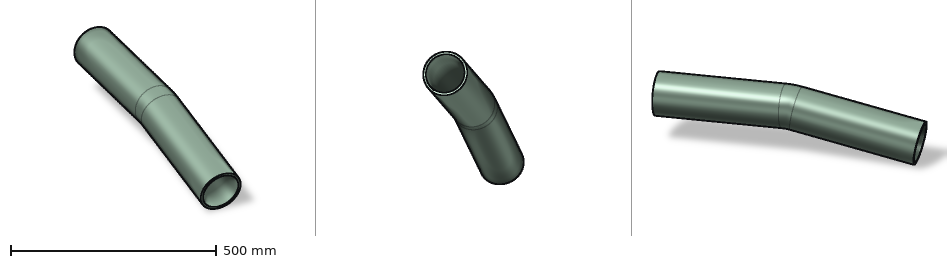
import cadquery as cq
import math

outer_diameter = 110.0
inner_diameter = 96.5
leg_length = 317.0
bend_radius = 1.5 * outer_diameter
bend_angle = 11

angle = math.radians(bend_angle)


def bend_point(turn):
    """Point on the bend centreline after turning by the given angle."""
    x = leg_length + bend_radius * math.sin(turn)
    z = -bend_radius * (1 - math.cos(turn))
    return (x, z)


bend_end = bend_point(angle)
pipe_end = (
    bend_end[0] + leg_length * math.cos(angle),
    bend_end[1] - leg_length * math.sin(angle),
)

centreline = (
    cq.Workplane("XZ")
    .lineTo(leg_length, 0)
    .threePointArc(bend_point(angle / 2), bend_end)
    .lineTo(*pipe_end)
)

result = (
    cq.Workplane("YZ")
    .circle(outer_diameter / 2)
    .circle(inner_diameter / 2)
    .sweep(centreline)
)